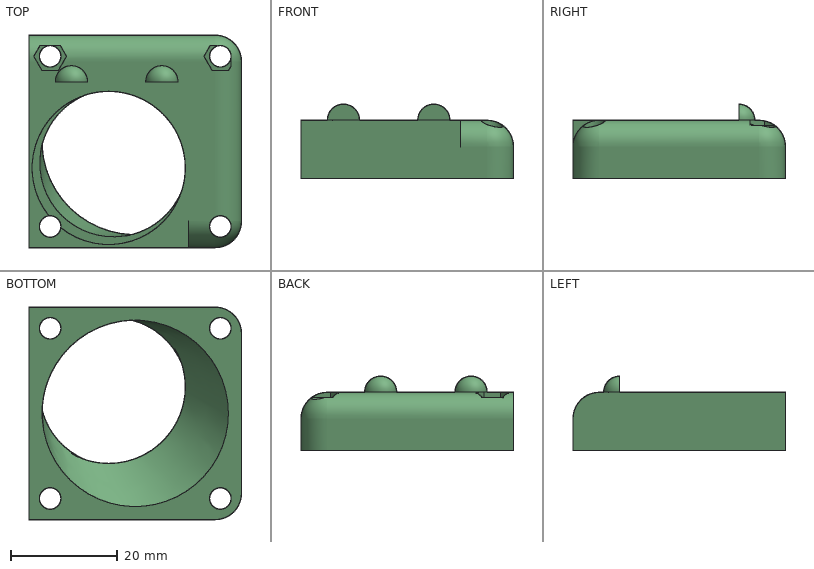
import cadquery as cq

plate_side = 40.0
plate_height = 11.0
edge_radius = 5.0

seat_side = 30.0
seat_center = seat_side / 2

recess_radius = 14.4
recess_depth = 2.0
cone_top_radius = 13.05
cone_bottom_center = plate_side / 2
cone_bottom_radius = 17.5

screw_diameter = 4.0
screw_inset = 4.0
near_screw = screw_inset
far_screw = plate_side - screw_inset
screw_places = [(x, y) for x in (near_screw, far_screw) for y in (near_screw, far_screw)]
nut_places = [(x, y) for x, y in screw_places if y == far_screw]
nut_corner_diameter = 6.15
nut_depth = 1.0

stop_radius = 3.05
stop_face_y = 31.2
stop_xs = (8.0, 25.0)


def make_blank():
    """Plate rounded on every side but X = 0, with the sharp seat block added."""
    rounded = (
        cq.Workplane("XY")
        .box(plate_side, plate_side, plate_height, centered=False)
        .edges("(>X and |Z) or (>Z and (>X or >Y or <Y))")
        .fillet(edge_radius)
    )
    seat = cq.Workplane("XY").box(seat_side, seat_side, plate_height, centered=False)
    return rounded.union(seat)


def make_air_passage():
    """Skewed cone from the bottom to the top face, widened by the round recess at the top."""
    cone = (
        cq.Workplane("XY")
        .center(cone_bottom_center, cone_bottom_center)
        .circle(cone_bottom_radius)
        .workplane(offset=plate_height)
        .center(seat_center - cone_bottom_center, seat_center - cone_bottom_center)
        .circle(cone_top_radius)
        .loft(ruled=True)
    )
    recess = (
        cq.Workplane("XY", origin=(seat_center, seat_center, plate_height - recess_depth))
        .circle(recess_radius)
        .extrude(recess_depth)
    )
    return cone.union(recess)


def make_screw_holes():
    """Four straight holes through the plate."""
    return cq.Workplane("XY").pushPoints(screw_places).circle(screw_diameter / 2).extrude(plate_height)


def make_nut_pockets():
    """Hexagonal pockets sunk from the top around the two screws on the +Y side."""
    return (
        cq.Workplane("XY", origin=(0, 0, plate_height - nut_depth))
        .pushPoints(nut_places)
        .polygon(6, nut_corner_diameter)
        .extrude(nut_depth)
    )


def make_plate():
    return make_blank().cut(make_air_passage()).cut(make_screw_holes()).cut(make_nut_pockets())


def make_stop(x):
    """Quarter ball with its flat face toward -Y and its base on the top face of the plate."""
    ball = cq.Workplane("XY").sphere(stop_radius)
    quarter_space = cq.Workplane("XY").box(
        2 * stop_radius, stop_radius, stop_radius, centered=(True, False, False)
    )
    return ball.intersect(quarter_space).translate((x, stop_face_y, plate_height))


plate = make_plate()
stops = [make_stop(x) for x in stop_xs]

result = cq.Compound.makeCompound([plate.val(), *[stop.val() for stop in stops]])